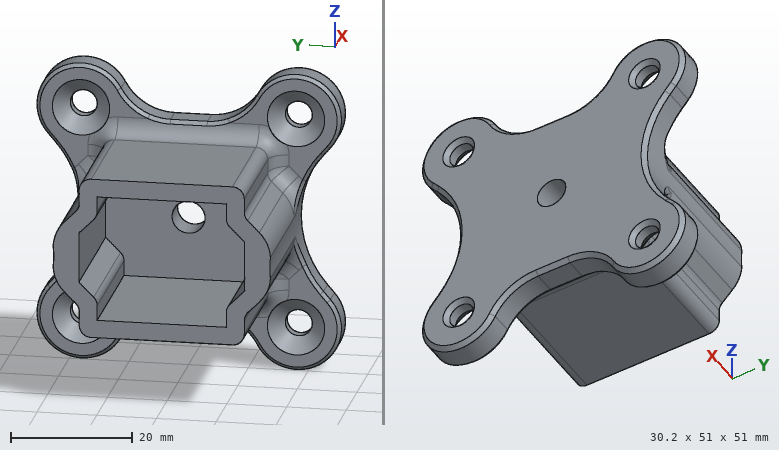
import cadquery as cq
import math


HALF_SPAN = 25.5
LUG_RADIUS = 7.5
LUG_CENTRE = HALF_SPAN - LUG_RADIUS
PLATE_THICKNESS = 5.2
FRONT_CHAMFER = 0.6
BACK_CHAMFER = 0.75
SIDE_WAIST = 18.1
SIDE_ARC_RADIUS = 17.9
TOP_WAIST = 16.55
TOP_ARC_RADIUS = 9.45

OVERALL_LENGTH = 30.2
WALL = 3.0
CAVITY_SHOULDER_Y = 10.8
CAVITY_SIDE_Y = 13.85
CAVITY_TOP_Z = 10.65
CAVITY_FLANK_SUM = 18.1
TUBE_SHOULDER_Y = CAVITY_SHOULDER_Y + WALL
TUBE_SIDE_Y = 18.2
TUBE_TOP_Z = CAVITY_TOP_Z + WALL
TUBE_FLANK_SUM = CAVITY_FLANK_SUM + WALL * math.sqrt(2)
CORNER_RADIUS = 2.0
SIDE_RADIUS = 6.35
ROOT_FILLET = 3.0

SCREW_DIAMETER = 4.5
COUNTERSINK_DIAMETER = 9.6
COUNTERSINK_ANGLE = 90
SCREW_BACK_CHAMFER = 0.8
CENTRE_HOLE_DIAMETER = 5.5

PLATE_FRONT_X = -PLATE_THICKNESS
MOUTH_X = -OVERALL_LENGTH
SELECT_MARGIN = 0.05


def polar(centre, radius, angle):
    """Point on a circle in the YZ plane."""
    return (centre[0] + radius * math.cos(angle), centre[1] + radius * math.sin(angle))


def select_box(y_half, z_half, x_low, x_high, y=0, z=0):
    """Selector for everything centred in a box around the line through (y, z) along X."""
    return cq.selectors.BoxSelector((x_low, y - y_half, z - z_half), (x_high, y + y_half, z + z_half))


def plate_prism(length):
    """Outline of the plate, four lugs joined by concave arcs, extruded toward -X."""
    lug = (LUG_CENTRE, LUG_CENTRE)

    top_rise = TOP_WAIST + TOP_ARC_RADIUS - LUG_CENTRE
    top_run = math.sqrt((TOP_ARC_RADIUS + LUG_RADIUS) ** 2 - top_rise**2)
    top_centre = (LUG_CENTRE - top_run, TOP_WAIST + TOP_ARC_RADIUS)
    top_angle = math.atan2(top_rise, -top_run)
    top_middle = (top_angle - math.pi - math.pi / 2) / 2

    side_centre = (SIDE_WAIST + SIDE_ARC_RADIUS, 0)
    side_run = side_centre[0] - LUG_CENTRE
    tangent_angle = math.acos((SIDE_ARC_RADIUS + LUG_RADIUS) / math.hypot(side_run, LUG_CENTRE))
    side_angle = tangent_angle - math.atan2(LUG_CENTRE, side_run)

    return (
        cq.Workplane("YZ")
        .moveTo(0, TOP_WAIST)
        .lineTo(top_centre[0], TOP_WAIST)
        .threePointArc(polar(top_centre, TOP_ARC_RADIUS, top_middle), polar(lug, LUG_RADIUS, top_angle))
        .threePointArc(
            polar(lug, LUG_RADIUS, (top_angle + side_angle) / 2),
            polar(lug, LUG_RADIUS, side_angle),
        )
        .lineTo(*polar(side_centre, SIDE_ARC_RADIUS, side_angle + math.pi))
        .threePointArc(polar(side_centre, SIDE_ARC_RADIUS, side_angle / 2 + math.pi), (SIDE_WAIST, 0))
        .mirrorX()
        .mirrorY()
        .extrude(-length)
    )


def round_edges(body, y, z, radius):
    """Fillet the X-parallel edges at the four mirrored places of (y, z)."""
    for y_sign in (1, -1):
        for z_sign in (1, -1):
            place = select_box(
                SELECT_MARGIN, SELECT_MARGIN, MOUTH_X, 0, y=y_sign * y, z=z_sign * z
            )
            body = body.edges(place).fillet(radius)
    return body


def stepped_prism(shoulder_y, side_y, top_z, flank_sum):
    """Full-length prism: a rectangle with a 45 degree flanked bulge on each Y side."""
    quarter = [
        (shoulder_y, top_z),
        (shoulder_y, flank_sum - shoulder_y),
        (side_y, flank_sum - side_y),
    ]
    half = quarter + [(y, -z) for y, z in reversed(quarter)]
    outline = half + [(-y, -z) for y, z in half]
    prism = cq.Workplane("YZ").polyline(outline).close().extrude(MOUTH_X)
    return round_edges(prism, shoulder_y, flank_sum - shoulder_y, CORNER_RADIUS)


def make_body():
    """Solid tube blended into the plate, with both plate rims chamfered."""
    tube = stepped_prism(TUBE_SHOULDER_Y, TUBE_SIDE_Y, TUBE_TOP_Z, TUBE_FLANK_SUM)
    tube = round_edges(tube, TUBE_SIDE_Y, TUBE_FLANK_SUM - TUBE_SIDE_Y, SIDE_RADIUS)
    tube = round_edges(tube, TUBE_SHOULDER_Y, TUBE_TOP_Z, CORNER_RADIUS)

    blank = cq.Workplane("YZ").rect(3 * HALF_SPAN, 3 * HALF_SPAN).extrude(PLATE_FRONT_X)
    front_low = PLATE_FRONT_X - SELECT_MARGIN
    front_high = PLATE_FRONT_X + SELECT_MARGIN
    tube_foot = select_box(HALF_SPAN, HALF_SPAN, front_low, front_high)
    body = tube.union(blank).edges(tube_foot).fillet(ROOT_FILLET)
    envelope = plate_prism(OVERALL_LENGTH)
    body = body.intersect(envelope)

    top_flat = select_box(SELECT_MARGIN, SELECT_MARGIN, front_low, front_high, z=TOP_WAIST)
    bottom_flat = select_box(SELECT_MARGIN, SELECT_MARGIN, front_low, front_high, z=-TOP_WAIST)
    body = body.edges(top_flat + bottom_flat).chamfer(FRONT_CHAMFER)

    body = body.union(tube.intersect(envelope))
    return body.faces(">X").edges().chamfer(BACK_CHAMFER)


def make_cavity():
    """Pocket from the tube mouth down to the front of the plate."""
    prism = stepped_prism(CAVITY_SHOULDER_Y, CAVITY_SIDE_Y, CAVITY_TOP_Z, CAVITY_FLANK_SUM)
    return prism.translate((PLATE_FRONT_X, 0, 0))


def make_screw_hole():
    """Cutter on the X axis: bore, countersink in the front face, chamfer in the back face."""
    bore_radius = SCREW_DIAMETER / 2
    sink_radius = COUNTERSINK_DIAMETER / 2
    sink_depth = (sink_radius - bore_radius) / math.tan(math.radians(COUNTERSINK_ANGLE / 2))
    profile = [
        (PLATE_FRONT_X, 0),
        (PLATE_FRONT_X, sink_radius),
        (PLATE_FRONT_X + sink_depth, bore_radius),
        (-SCREW_BACK_CHAMFER, bore_radius),
        (0, bore_radius + SCREW_BACK_CHAMFER),
        (0, 0),
    ]
    cutter = cq.Workplane("XY").polyline(profile).close().revolve(360, (0, 0, 0), (1, 0, 0))
    clearance = cq.Workplane("YZ", origin=(PLATE_FRONT_X, 0, 0)).circle(sink_radius).extrude(-ROOT_FILLET)
    return cutter.union(clearance)


result = make_body().cut(make_cavity())
for y_sign in (1, -1):
    for z_sign in (1, -1):
        result = result.cut(make_screw_hole().translate((0, y_sign * LUG_CENTRE, z_sign * LUG_CENTRE)))
result = result.cut(cq.Workplane("YZ").circle(CENTRE_HOLE_DIAMETER / 2).extrude(PLATE_FRONT_X))